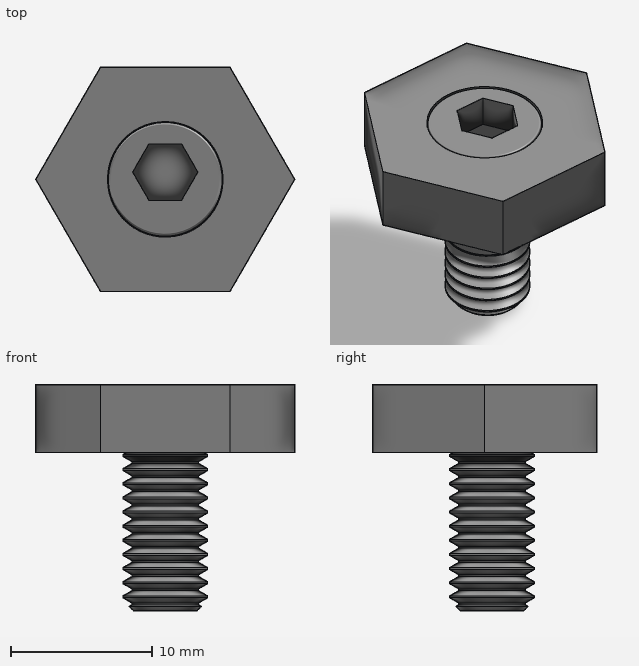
import cadquery as cq
import math

plate_across_corners = 18.33
plate_thickness = 4.8
counterbore_diameter = 8.18

overall_height = 16.0
head_diameter = 8.05
head_height = 3.85
head_edge_radius = 0.2
eccentricity = 0.51
socket_across_flats = 4.0
socket_across_corners = socket_across_flats / math.cos(math.pi / 6)
socket_depth = 2.35

thread_diameter = 6.01
pitch_count = 11
crest_span = 11.0
pitch = crest_span / pitch_count
groove_count = pitch_count + 1
crest_flat = pitch / 8
root_flat = pitch / 8
flank_angle = 30
flank_height = (pitch - crest_flat - root_flat) / 2
thread_depth = flank_height / math.tan(math.radians(flank_angle))
tip_chamfer = 0.77

shank_clearance = 0.05
through_hole_diameter = thread_diameter + 2 * (eccentricity + shank_clearance)

thread_radius = thread_diameter / 2
root_radius = thread_radius - thread_depth
tip_z = plate_thickness - overall_height
seat_z = plate_thickness - head_height


def make_plate():
    """Hexagonal plate with two corners on the X axis and a counterbored central hole."""
    return (
        cq.Workplane("XY")
        .polygon(6, plate_across_corners)
        .extrude(plate_thickness)
        .faces(">Z")
        .workplane()
        .cboreHole(through_hole_diameter, counterbore_diameter, head_height)
    )


def make_head():
    """Cam head with a rounded top edge, seated on the shoulder and flush with the plate's top."""
    return (
        cq.Workplane("XY", origin=(0, 0, seat_z))
        .circle(head_diameter / 2)
        .extrude(head_height)
        .faces(">Z")
        .edges()
        .fillet(head_edge_radius)
    )


def thread_groove(centre_z):
    """Ring cutter for the V-shaped groove between two neighbouring crests."""
    root_half = root_flat / 2
    mouth_half = root_half + flank_height
    return (
        cq.Workplane("XZ")
        .moveTo(root_radius, centre_z - root_half)
        .lineTo(thread_radius, centre_z - mouth_half)
        .lineTo(thread_radius, centre_z + mouth_half)
        .lineTo(root_radius, centre_z + root_half)
        .close()
        .revolve(360, (0, 0), (0, 1))
    )


def make_shank():
    """Threaded shank around the Z axis, from its chamfered tip up to the head."""
    shank = (
        cq.Workplane("XY", origin=(0, 0, tip_z))
        .circle(thread_radius)
        .extrude(seat_z - tip_z)
        .faces("<Z")
        .chamfer(tip_chamfer)
    )
    for groove_index in range(groove_count):
        groove_z = tip_z + (groove_index + 0.5) * pitch
        shank = shank.cut(thread_groove(groove_z))
    return shank


def socket_cutter():
    """Hexagonal socket, centred on the shank axis and sunk from the head's top face."""
    return (
        cq.Workplane("XY", origin=(0, 0, plate_thickness - socket_depth))
        .polygon(6, socket_across_corners)
        .extrude(socket_depth)
    )


def make_screw():
    """Eccentric screw: head on the counterbore axis, shank and socket offset towards +Y."""
    offset = (0, eccentricity, 0)
    return (
        make_head()
        .union(make_shank().translate(offset))
        .cut(socket_cutter().translate(offset))
    )


plate = make_plate()
screw = make_screw()
result = cq.Compound.makeCompound([plate.val(), screw.val()])